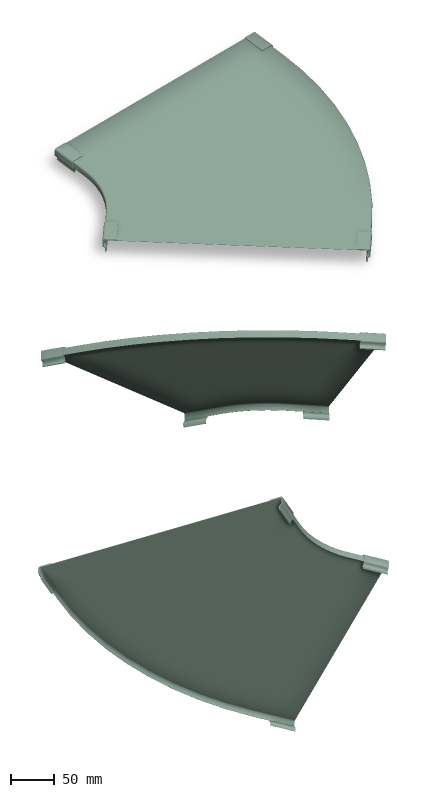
import cadquery as cq
import math

bend_angle = 45.0
straight_length = 49.5
outer_clip_radius = 403.91
inner_clip_radius = 97.51

clip_thickness = 1.25
cover_thickness = 0.5
cover_outer_radius = outer_clip_radius - clip_thickness
cover_inner_radius = inner_clip_radius + clip_thickness
cover_height = 8.75
cover_bend_radius = 2.0

clip_length = 30.0
clip_flange_width = 16.0
clip_bend_radius = 2.5
clip_total_height = 19.25
clip_wall_bottom = clip_thickness + cover_height
shoulder_radius = 2.25
shoulder_angle = 66.0
hook_end_angle = 40.0

cover_top = 0.0
clip_top = cover_top + clip_thickness


def bend_point(radius, angle_from_start, distance_past=0.0):
    """Point at a radius and a clockwise angle, moved on along the direction of travel."""
    turn = math.radians(angle_from_start)
    return (
        straight_length + radius * math.sin(turn) + distance_past * math.cos(turn),
        radius * math.cos(turn) - distance_past * math.sin(turn),
    )


def bend_slab(outer_radius, inner_radius, bottom, top):
    """Vertical slab that follows the bend between two radii."""
    return (
        cq.Workplane("XY", origin=(0, 0, bottom))
        .moveTo(0, inner_radius)
        .lineTo(0, outer_radius)
        .lineTo(*bend_point(outer_radius, 0))
        .threePointArc(bend_point(outer_radius, bend_angle / 2), bend_point(outer_radius, bend_angle))
        .lineTo(*bend_point(outer_radius, bend_angle, straight_length))
        .lineTo(*bend_point(inner_radius, bend_angle, straight_length))
        .lineTo(*bend_point(inner_radius, bend_angle))
        .threePointArc(bend_point(inner_radius, bend_angle / 2), bend_point(inner_radius, 0))
        .close()
        .extrude(top - bottom)
    )


def round_top_edges(slab, outer_radius, inner_radius, top, radius):
    """Round the two long edges of the top face, leaving the end edges sharp."""
    for edge_radius in (outer_radius, inner_radius):
        on_straight = cq.selectors.NearestToPointSelector((straight_length / 2, edge_radius, top))
        slab = slab.newObject([slab.edges(on_straight).val()]).fillet(radius)
    return slab


def make_cover():
    bottom = cover_top - cover_height
    lid = bend_slab(cover_outer_radius, cover_inner_radius, bottom, cover_top)
    lid = round_top_edges(lid, cover_outer_radius, cover_inner_radius, cover_top, cover_bend_radius)
    cavity_outer = cover_outer_radius - cover_thickness
    cavity_inner = cover_inner_radius + cover_thickness
    cavity_top = cover_top - cover_thickness
    cavity = bend_slab(cavity_outer, cavity_inner, bottom, cavity_top)
    cavity_bend = cover_bend_radius - cover_thickness
    cavity = round_top_edges(cavity, cavity_outer, cavity_inner, cavity_top, cavity_bend)
    return lid.cut(cavity)


def offset_point(centre, radius, angle):
    """Point at a radius and an anticlockwise angle from a centre."""
    return (centre[0] + radius * math.cos(angle), centre[1] + radius * math.sin(angle))


def clip_section(plane):
    """Clip section on a plane whose x runs inwards from the wall and whose y runs up."""
    shoulder = math.radians(shoulder_angle)
    lean = math.radians(hook_end_angle)
    inner_bend = clip_bend_radius - clip_thickness
    shoulder_inside = shoulder_radius - clip_thickness
    wall_end = clip_top - clip_wall_bottom
    clip_bottom = clip_top - clip_total_height

    shoulder_centre = (shoulder_radius, wall_end)
    start = math.pi
    middle = start + shoulder / 2
    end = start + shoulder

    drop = wall_end - shoulder_radius * math.sin(shoulder) - clip_bottom
    hook_radius = (drop - clip_thickness * math.sin(lean)) / (math.sin(shoulder) + math.sin(lean))
    reach = shoulder_radius + hook_radius
    hook_centre = offset_point(shoulder_centre, reach, end)
    hook_outside = hook_radius + clip_thickness
    bulge = (shoulder - lean) / 2

    return (
        cq.Workplane(plane)
        .moveTo(clip_flange_width, clip_top)
        .lineTo(clip_bend_radius, clip_top)
        .radiusArc((0, clip_top - clip_bend_radius), -clip_bend_radius)
        .lineTo(0, wall_end)
        .threePointArc(
            offset_point(shoulder_centre, shoulder_radius, middle),
            offset_point(shoulder_centre, shoulder_radius, end),
        )
        .threePointArc(
            offset_point(hook_centre, hook_radius, bulge), offset_point(hook_centre, hook_radius, -lean)
        )
        .lineTo(*offset_point(hook_centre, hook_outside, -lean))
        .threePointArc(
            offset_point(hook_centre, hook_outside, bulge), offset_point(hook_centre, hook_outside, shoulder)
        )
        .threePointArc(
            offset_point(shoulder_centre, shoulder_inside, middle),
            offset_point(shoulder_centre, shoulder_inside, start),
        )
        .lineTo(clip_thickness, clip_top - clip_bend_radius)
        .radiusArc((clip_bend_radius, clip_top - clip_thickness), inner_bend)
        .lineTo(clip_flange_width, clip_top - clip_thickness)
        .close()
    )


def make_clip(start, travel_angle, inward_sign):
    """Clip whose wall starts at a plan point and runs along a clockwise travel angle.

    The inward sign is -1 for the outer edge and +1 for the inner edge.
    """
    turn = math.radians(travel_angle)
    travel = cq.Vector(math.cos(turn), -math.sin(turn), 0)
    inward = cq.Vector(math.sin(turn), math.cos(turn), 0) * inward_sign
    normal = inward.cross(cq.Vector(0, 0, 1))
    plane = cq.Plane(origin=(start[0], start[1], 0), xDir=inward, normal=normal)
    return clip_section(plane).extrude(clip_length * normal.dot(travel))


cover = make_cover()

clips = []
for wall_radius, inward_sign in ((outer_clip_radius, -1), (inner_clip_radius, 1)):
    first_start = (0, wall_radius)
    last_start = bend_point(wall_radius, bend_angle, straight_length - clip_length)
    clips.append(make_clip(first_start, 0, inward_sign))
    clips.append(make_clip(last_start, bend_angle, inward_sign))

result = cq.Compound.makeCompound([cover.val(), *[clip.val() for clip in clips]])